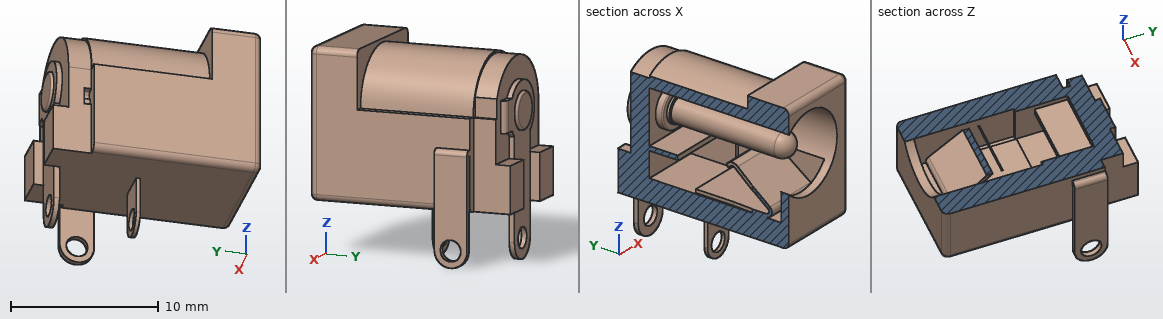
import math

import cadquery as cq


housing_width = 9.0
housing_half = housing_width / 2
housing_length = 11.8
head_height = 10.7
head_length = 3.51
edge_round = 0.5
axis_height = 6.5
barrel_axis_height = 6.55
barrel_radius = 3.89

cap_radius = 3.8
cap_length = 1.61
cap_back = housing_length + cap_length
cap_flat_x = 3.54
total_length = 14.5
foot_height = 3.38
foot_gap = 2.8

pocket_length = 0.51
pocket_bottom = 3.8
pocket_height = 1.2
pocket_depth = 0.58
pocket_round = 0.19
pocket_step = 0.22

bore_diameter = 6.4
boss_diameter = 3.2
boss_length = 0.58
boss_round = 0.1
collar_diameter = 2.2
collar_length = 0.87
collar_chamfer = 0.07
pin_radius = 2.0 / 2
pin_tip_y = 1.23
slot_front = 0.7
slot_half_width = 2.67
rib_width = 0.26
rib_front = 7.98

tab_drop = 3.8
tab_hole = 1.5
tab_width = 2.4
leaf_thickness = 0.29
front_tab_back = rib_front
side_tab_thickness = 0.4
side_tab_reach = 0.5
side_tab_bend_radius = 0.38
side_tab_top = 4.38
rear_tab_width = 2.8
rear_tab_thickness = 0.39
rear_hole_depth = 2.32

disc_radius = 2.12
rivet_diameter = 2.75
rivet_length = 0.2
rivet_round = 0.17
arm_half_height = 1.13
arm_reach = 2.9
arm_bend_radius = 0.38

leaf_angle = math.radians(38)
leaf_crest_z = 5.16
leaf_crest_radius = 0.68
leaf_end_angle = math.radians(60)
leaf_bend_radius = 0.51
leaf_bend_y = 1.93
leaf_bend_z = 2.42
leaf_front_half_width = 2.36
leaf_crest_half_width = 2.16
slot_floor = leaf_bend_z - leaf_bend_radius


def box(x_range, y_range, z_range):
    """Box between the given limits on each axis."""
    sizes = [high - low for low, high in (x_range, y_range, z_range)]
    corner = (x_range[0], y_range[0], z_range[0])
    return cq.Workplane("XY").box(*sizes, centered=False).translate(corner)


def rod(radius, y_front, y_back, height=axis_height):
    """Cylinder along Y, on the plug axis unless another height is given."""
    plane = cq.Workplane("XZ", origin=(0, y_front, height))
    return plane.circle(radius).extrude(y_front - y_back)


def solder_tab(width, thickness, top, hole_diameter, hole_depth):
    """Round-ended tab facing Y, back face on Y = 0, with a hole below Z = 0."""
    end_z = width / 2 - tab_drop
    tab = (
        cq.Workplane("XZ")
        .moveTo(-width / 2, top)
        .lineTo(-width / 2, end_z)
        .threePointArc((0, -tab_drop), (width / 2, end_z))
        .lineTo(width / 2, top)
        .close()
        .extrude(thickness)
    )
    hole = cq.Workplane("XZ").center(0, -hole_depth).circle(hole_diameter / 2).extrude(thickness)
    return tab.cut(hole)


def make_housing():
    """Square front head, flat-sided base and round barrel."""
    width = (-housing_half, housing_half)
    base = box(width, (0, housing_length), (0, barrel_axis_height))
    base = base.edges("|Y and <Z").fillet(edge_round)
    head = box(width, (0, head_length), (0, head_height))
    head = head.edges("|Y or <Y").fillet(edge_round)
    rear_base = base.intersect(box(width, (head_length, housing_length), (0, barrel_axis_height)))
    barrel = rod(barrel_radius, edge_round, housing_length, barrel_axis_height)
    return head.union(rear_base).union(barrel)


def make_cap():
    """Rear cap with a flat on its +X side, two feet and a pocket in its -X side."""
    width = (-cap_radius, cap_radius)
    cap = rod(cap_radius, housing_length, cap_back)
    cap = cap.union(box(width, (housing_length, cap_back), (0, axis_height)))
    beside_flat = box((cap_flat_x, cap_radius), (housing_length, cap_back), (axis_height, head_height))
    cap = cap.cut(beside_flat)
    feet = box(width, (cap_back, total_length), (0, foot_height))
    feet = feet.cut(box((-foot_gap / 2, foot_gap / 2), (cap_back, total_length), (0, foot_height)))

    pocket_end = -cap_radius + pocket_depth
    pocket_y = (housing_length, housing_length + pocket_length)
    pocket = box((-cap_radius, pocket_end), pocket_y, (pocket_bottom, pocket_bottom + pocket_height))
    pocket = pocket.edges("|Y and >X and >Z").fillet(pocket_round)
    pocket = pocket.edges("|Y and >X and <Z").chamfer(pocket_round)
    step = box((pocket_end - pocket_step, pocket_end), pocket_y, (pocket_bottom + pocket_round, side_tab_top))
    return cap.union(feet).cut(pocket.cut(step))


def make_cavity():
    """Plug bore and the slot for the spring leaf, with a rib along each side of the slot."""
    slot_top = axis_height - math.sqrt((bore_diameter / 2) ** 2 - slot_half_width**2)
    slot = box((-slot_half_width, slot_half_width), (slot_front, housing_length), (slot_floor, slot_top))
    cavity = rod(bore_diameter / 2, 0, housing_length).union(slot)
    rib = box((slot_half_width - rib_width, slot_half_width), (rib_front, housing_length), (slot_floor, slot_top))
    return cavity.cut(rib).cut(rib.mirror("YZ"))


def make_pin():
    """Centre pin with a ball tip, standing on a collar and a boss."""
    ball_y = pin_tip_y + pin_radius
    pin = rod(pin_radius, ball_y, housing_length)
    ball = cq.Workplane("XZ", origin=(0, ball_y, axis_height)).sphere(pin_radius)
    boss = rod(boss_diameter / 2, housing_length - boss_length, housing_length)
    boss = boss.faces("<Y").edges().fillet(boss_round)
    collar = rod(collar_diameter / 2, housing_length - collar_length, housing_length)
    collar = collar.faces("<Y").edges().chamfer(collar_chamfer)
    return pin.union(ball).union(boss).union(collar)


def make_leaf():
    """Strip on the slot floor, folded back at the front into a rising leaf, with its tab."""
    crest_z = leaf_crest_z - leaf_crest_radius
    radius_step = leaf_bend_radius - leaf_crest_radius
    rise = crest_z - leaf_bend_z - radius_step * math.cos(leaf_angle)
    crest_y = leaf_bend_y - radius_step * math.sin(leaf_angle) + rise / math.tan(leaf_angle)

    def bend_point(radius, angle):
        return leaf_bend_y + radius * math.sin(angle), leaf_bend_z + radius * math.cos(angle)

    def crest_point(radius, angle):
        return crest_y + radius * math.sin(angle), crest_z + radius * math.cos(angle)

    inner_bend = leaf_bend_radius - leaf_thickness
    inner_crest = leaf_crest_radius - leaf_thickness
    profile = (
        cq.Workplane("YZ")
        .moveTo(front_tab_back, slot_floor)
        .lineTo(leaf_bend_y, slot_floor)
        .threePointArc(bend_point(leaf_bend_radius, -math.pi / 2), bend_point(leaf_bend_radius, -leaf_angle))
        .lineTo(*crest_point(leaf_crest_radius, -leaf_angle))
        .threePointArc(crest_point(leaf_crest_radius, 0), crest_point(leaf_crest_radius, leaf_end_angle))
        .lineTo(*crest_point(inner_crest, leaf_end_angle))
        .threePointArc(crest_point(inner_crest, 0), crest_point(inner_crest, -leaf_angle))
        .lineTo(*bend_point(inner_bend, -leaf_angle))
        .threePointArc(bend_point(inner_bend, -math.pi / 2), bend_point(inner_bend, -math.pi))
        .lineTo(front_tab_back, slot_floor + leaf_thickness)
        .close()
        .extrude(leaf_front_half_width, both=True)
    )
    front_y = leaf_bend_y - leaf_bend_radius
    plan = (
        cq.Workplane("XY")
        .moveTo(-leaf_front_half_width, front_y)
        .lineTo(leaf_front_half_width, front_y)
        .lineTo(leaf_crest_half_width, crest_y)
        .lineTo(leaf_crest_half_width, front_tab_back)
        .lineTo(-leaf_crest_half_width, front_tab_back)
        .lineTo(-leaf_crest_half_width, crest_y)
        .close()
        .extrude(head_height)
    )
    tab = solder_tab(tab_width, leaf_thickness, slot_floor, tab_hole, tab_drop - tab_width / 2)
    return profile.intersect(plan).union(tab.translate((0, front_tab_back, 0)))


def make_side_contact():
    """Strip across the slot that bends down outside the +X wall into a tab."""
    outer_x = housing_half + side_tab_reach
    tab = solder_tab(tab_width, side_tab_thickness, side_tab_top, tab_hole, tab_drop - tab_width / 2)
    tab = tab.rotate((0, 0, 0), (0, 0, 1), 90)
    tab = tab.translate((outer_x - side_tab_thickness, housing_length - tab_width / 2, 0))
    strip = box(
        (-slot_half_width, outer_x - side_tab_thickness),
        (housing_length - tab_width, housing_length),
        (side_tab_top - side_tab_thickness, side_tab_top),
    )
    return tab.union(strip).edges("|Y and >X and >Z").fillet(side_tab_bend_radius)


def make_rear_terminal():
    """Disc with a rivet, a downward tab and a bent arm towards +X."""
    back = cap_back + rear_tab_thickness
    tab = solder_tab(rear_tab_width, rear_tab_thickness, axis_height, tab_hole, rear_hole_depth)
    disc = rod(disc_radius, cap_back, back)
    rivet = rod(rivet_diameter / 2, cap_back, back + rivet_length).faces(">Y").edges().fillet(rivet_round)
    arm_z = (axis_height - arm_half_height, axis_height + arm_half_height)
    arm = box((0, arm_reach), (cap_back, back), arm_z).edges("|Z and >X and >Y").fillet(arm_bend_radius)
    return tab.translate((0, back, 0)).union(disc).union(rivet).union(arm)


result = (
    make_housing()
    .union(make_cap())
    .cut(make_cavity())
    .union(make_pin())
    .union(make_leaf())
    .union(make_side_contact())
    .union(make_rear_terminal())
)